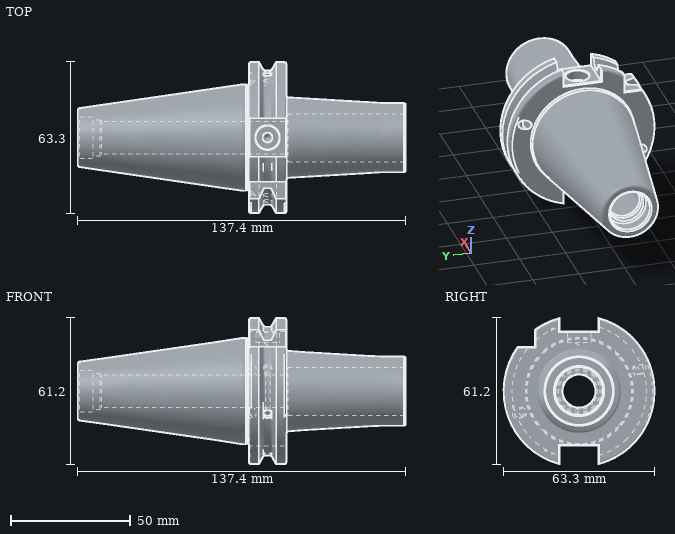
import cadquery as cq
import math


total_length = 137.4
gauge_x = 69.0
gauge_diameter = 44.7
gauge_radius = gauge_diameter / 2
taper_slope = 7 / 48
tail_radius = gauge_radius - gauge_x * taper_slope
tail_round = 1.0

clearance = 1.4

band_end_x = 70.3
relief_end_x = 71.2
relief_depth = 0.4
flange_root_radius = 22.7

flange_start_x = 71.7
flange_width = 15.8
flange_end_x = flange_start_x + flange_width
flange_diameter = 63.3
flange_radius = flange_diameter / 2
rim_round = 1.0

groove_x = 79.5
groove_mouth = 7.1
groove_floor_radius = 28.2
groove_root_round = 1.1
groove_wall_angle = math.radians(30)

nose_root_radius = 16.9
nose_root_round = 0.8
nose_radius = 14.5
nose_cylinder_x = 127.5
nose_chamfer_length = 0.8
nose_chamfer_depth = 0.4

tail_bore_radius = 8.7
tail_bore_depth = 6.3
bore_mouth_chamfer = 0.7
thread_radius = 6.9
thread_mouth_radius = 7.5
thread_start_x = 9.3
thread_chamfer = thread_mouth_radius - thread_radius
tool_bore_radius = 10.0
tool_bore_depth = 49.5
tool_bore_chamfer = 0.5

slot_width = 16.1
upper_slot_floor = 25.0
lower_slot_floor = 22.8
notch_wall = 18.5
notch_floor = 18.5
cut_edge_chamfer = 0.4

chip_pocket_radius = 5.0
chip_pocket_depth = 4.5
chip_pocket_chamfer = 0.3
pilot_radius = 2.0
drill_tip_half_angle = math.radians(59)

coolant_radius = 2.0
coolant_entry_radius = 26.8
coolant_turn = 20.0
coolant_slope = 45.0
coolant_depth = 2.2
plug_hole_radius = 1.8
plug_hole_depth = 2.7


def turned(profile):
    """Revolve a closed X-Y profile about the X axis."""
    return profile.close().revolve(360, (0, 0, 0), (1, 0, 0))


def make_body():
    arc_mid_factor = 1 - math.sqrt(0.5)
    tail_edge_x = tail_round
    tail_edge_radius = tail_radius + tail_edge_x * taper_slope
    tail_face_radius = tail_radius - tail_round
    round_mid = tail_round * arc_mid_factor
    rim_mid = rim_round * arc_mid_factor
    rim_side = flange_radius - rim_round
    root_mid = nose_root_round * arc_mid_factor
    profile = (
        cq.Workplane("XY")
        .moveTo(0, 0)
        .lineTo(0, tail_face_radius)
        .threePointArc((round_mid, tail_radius - round_mid), (tail_edge_x, tail_edge_radius))
        .lineTo(gauge_x, gauge_radius)
        .lineTo(band_end_x, gauge_radius)
        .lineTo(relief_end_x, gauge_radius - relief_depth)
        .lineTo(flange_start_x, flange_root_radius)
        .lineTo(flange_start_x, rim_side)
        .threePointArc(
            (flange_start_x + rim_mid, flange_radius - rim_mid),
            (flange_start_x + rim_round, flange_radius),
        )
        .lineTo(flange_end_x - rim_round, flange_radius)
        .threePointArc(
            (flange_end_x - rim_mid, flange_radius - rim_mid), (flange_end_x, rim_side)
        )
        .lineTo(flange_end_x, nose_root_radius + nose_root_round)
        .threePointArc(
            (flange_end_x + root_mid, nose_root_radius + root_mid),
            (flange_end_x + nose_root_round, nose_root_radius),
        )
        .lineTo(nose_cylinder_x, nose_radius)
        .lineTo(total_length - nose_chamfer_length, nose_radius)
        .lineTo(total_length, nose_radius - nose_chamfer_depth)
        .lineTo(total_length, 0)
    )
    return turned(profile)


def make_groove():
    """Ring with a 60 degree V section, a flat floor and rounded roots."""
    half_mouth = groove_mouth / 2
    depth = flange_radius - groove_floor_radius
    half_floor = half_mouth - depth * math.tan(groove_wall_angle)
    root_turn = math.pi / 2 - groove_wall_angle
    tangent = groove_root_round * math.tan(root_turn / 2)
    flat = half_floor - tangent
    wall = half_floor + tangent * math.sin(groove_wall_angle)
    wall_radius = groove_floor_radius + tangent * math.cos(groove_wall_angle)
    arc_mid = flat + groove_root_round * math.sin(root_turn / 2)
    arc_radius = groove_floor_radius + groove_root_round * (1 - math.cos(root_turn / 2))
    profile = (
        cq.Workplane("XY")
        .moveTo(groove_x - half_mouth, flange_radius)
        .lineTo(groove_x - wall, wall_radius)
        .threePointArc((groove_x - arc_mid, arc_radius), (groove_x - flat, groove_floor_radius))
        .lineTo(groove_x + flat, groove_floor_radius)
        .threePointArc((groove_x + arc_mid, arc_radius), (groove_x + wall, wall_radius))
        .lineTo(groove_x + half_mouth, flange_radius)
        .lineTo(groove_x + half_mouth, flange_radius + clearance)
        .lineTo(groove_x - half_mouth, flange_radius + clearance)
    )
    return turned(profile)


def make_bore():
    """Counterbored tail, threaded section and tool bore as one revolved core."""
    tool_bore_x = total_length - tool_bore_depth
    profile = (
        cq.Workplane("XY")
        .moveTo(0, 0)
        .lineTo(0, tail_bore_radius + bore_mouth_chamfer)
        .lineTo(bore_mouth_chamfer, tail_bore_radius)
        .lineTo(tail_bore_depth, tail_bore_radius)
        .lineTo(tail_bore_depth, thread_mouth_radius)
        .lineTo(thread_start_x, thread_mouth_radius)
        .lineTo(thread_start_x + thread_chamfer, thread_radius)
        .lineTo(tool_bore_x, thread_radius)
        .lineTo(tool_bore_x, tool_bore_radius)
        .lineTo(total_length - tool_bore_chamfer, tool_bore_radius)
        .lineTo(total_length, tool_bore_radius + tool_bore_chamfer)
        .lineTo(total_length, 0)
    )
    return turned(profile)


def rim_cutter(y_min, y_max, z_min, z_max):
    """Block across the flange width, flared at both flange faces to chamfer the cut edges."""
    def outline(face_x, grow):
        return (
            cq.Workplane("YZ", origin=(face_x, 0, 0))
            .center((y_min + y_max) / 2, (z_min + z_max) / 2)
            .rect(y_max - y_min + 2 * grow, z_max - z_min + 2 * grow)
        )

    cutter = outline(flange_start_x, 0).extrude(flange_width)
    for face_x, direction in ((flange_start_x, 1), (flange_end_x, -1)):
        flare = outline(face_x, cut_edge_chamfer).extrude(direction * cut_edge_chamfer, taper=45)
        cutter = cutter.union(flare)
    return cutter


def make_rim_cuts():
    outside = flange_radius + clearance
    half_slot = slot_width / 2
    upper = rim_cutter(-half_slot, half_slot, upper_slot_floor, outside)
    lower = rim_cutter(-half_slot, half_slot, -outside, -lower_slot_floor)
    notch = rim_cutter(-outside, -notch_wall, notch_floor, outside)
    return upper.union(lower).union(notch)


def make_chip_pocket():
    pocket_floor = upper_slot_floor - chip_pocket_depth
    pilot_tip = pocket_floor - pilot_radius / math.tan(drill_tip_half_angle)
    return (
        cq.Workplane("XZ")
        .moveTo(0, pilot_tip)
        .lineTo(pilot_radius, pocket_floor)
        .lineTo(chip_pocket_radius, pocket_floor)
        .lineTo(chip_pocket_radius, upper_slot_floor - chip_pocket_chamfer)
        .lineTo(chip_pocket_radius + chip_pocket_chamfer, upper_slot_floor)
        .lineTo(0, upper_slot_floor)
        .close()
        .revolve(360, (0, 0, 0), (0, 1, 0))
        .translate((groove_x, 0, 0))
    )


def make_coolant_holes():
    """Two inclined blind inlets, each with a radial plug hole in the groove floor."""
    slope = math.radians(coolant_slope)
    overshoot = 2 * coolant_radius
    direction = cq.Vector(math.cos(slope), -math.sin(slope), 0)
    start = cq.Vector(flange_start_x, coolant_entry_radius, 0) - direction * overshoot
    inlet = cq.Solid.makeCylinder(coolant_radius, coolant_depth + overshoot, start, direction)
    plug_start = cq.Vector(groove_x, groove_floor_radius + clearance, 0)
    plug_hole = cq.Solid.makeCylinder(
        plug_hole_radius, plug_hole_depth + clearance, plug_start, cq.Vector(0, -1, 0)
    )
    pair = cq.Workplane(inlet).union(cq.Workplane(plug_hole))
    first = pair.rotate((0, 0, 0), (1, 0, 0), coolant_turn)
    return first.union(first.rotate((0, 0, 0), (1, 0, 0), 180))


result = (
    make_body()
    .cut(make_groove())
    .cut(make_bore())
    .cut(make_rim_cuts())
    .cut(make_chip_pocket())
    .cut(make_coolant_holes())
)